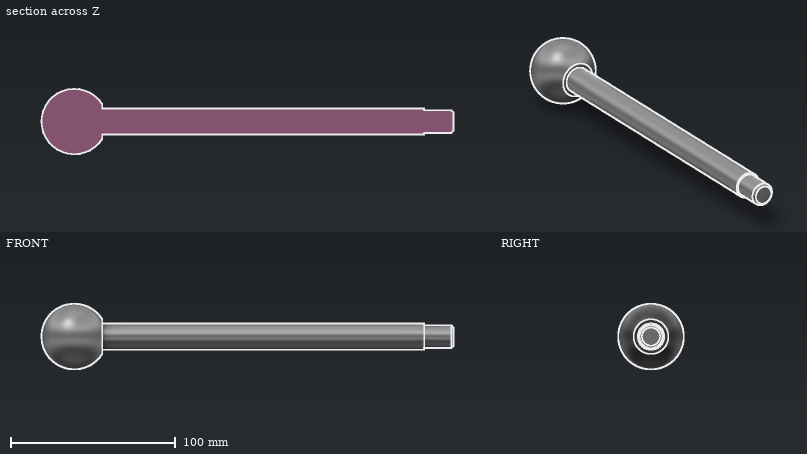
import cadquery as cq
import math

overall_length = 250.0
ball_diameter = 40.0
ball_height = 37.0
rod_diameter = 16.0
spigot_diameter = 14.0
spigot_length = 18.0
spigot_chamfer = 1.5

ball_radius = ball_diameter / 2
rod_radius = rod_diameter / 2
spigot_radius = spigot_diameter / 2

pole_x = -ball_radius
flat_x = pole_x + ball_height
flat_radius = math.sqrt(ball_radius**2 - flat_x**2)
end_x = pole_x + overall_length
shoulder_x = end_x - spigot_length

profile = (
    cq.Workplane("XZ")
    .moveTo(pole_x, 0)
    .threePointArc((0, ball_radius), (flat_x, flat_radius))
    .lineTo(flat_x, rod_radius)
    .lineTo(shoulder_x, rod_radius)
    .lineTo(shoulder_x, spigot_radius)
    .lineTo(end_x - spigot_chamfer, spigot_radius)
    .lineTo(end_x, spigot_radius - spigot_chamfer)
    .lineTo(end_x, 0)
    .close()
)

result = profile.revolve(360, (0, 0, 0), (1, 0, 0))